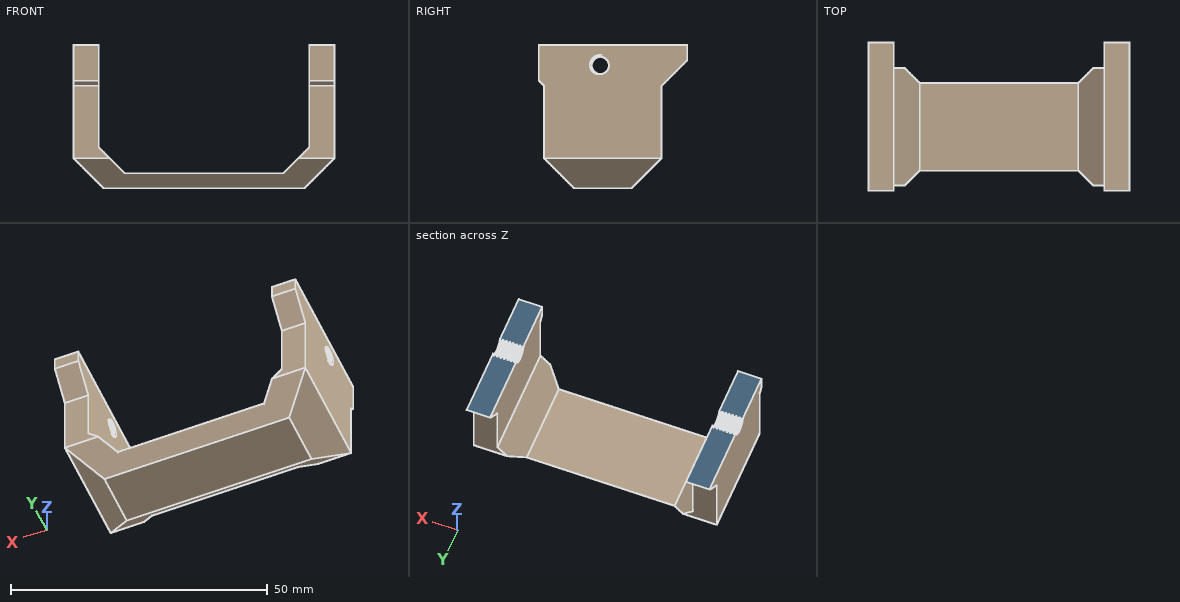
import cadquery as cq
import math

length = 50.95
width = 29.0
height = 28.0

wall = 5.0
floor = 3.0
inner_chamfer = 5.0
outer_chamfer = 5.9

front_overhang = 1.0
back_overhang = 5.0
flange_depth = 8.0

bore_diameter = 3.3
thread_diameter = 4.15
thread_pitch = 0.7
hole_from_front = 12.0
hole_from_top = 4.0
groove_half_angle = 30.0
bore_overlap = 0.05

front = -width / 2
back = width / 2
hole_y = front + hole_from_front
hole_z = height - hole_from_top


def cradle_section():
    """U-shaped section with chamfered corners, extruded over the full width."""
    outer_x = length / 2
    inner_x = outer_x - wall
    right_half = [
        (outer_x - outer_chamfer, 0),
        (outer_x, outer_chamfer),
        (outer_x, height),
        (inner_x, height),
        (inner_x, floor + inner_chamfer),
        (inner_x - inner_chamfer, floor),
    ]
    left_half = [(-x, z) for x, z in reversed(right_half)]
    section = cq.Workplane("XZ").polyline(right_half + left_half).close()
    return section.extrude(width / 2, both=True)


def side_profile():
    """Side outline with top flanges and a tapered base, extruded along X."""
    body_front = front + front_overhang
    body_back = back - back_overhang
    flange_bottom = height - flange_depth
    outline = [
        (body_front + outer_chamfer, 0),
        (body_front, outer_chamfer),
        (body_front, flange_bottom),
        (front, flange_bottom + front_overhang),
        (front, height),
        (back, height),
        (back, flange_bottom + back_overhang),
        (body_back, flange_bottom),
        (body_back, outer_chamfer),
        (body_back - outer_chamfer, 0),
    ]
    return cq.Workplane("YZ").polyline(outline).close().extrude(length / 2, both=True)


def threaded_hole(wall_start):
    """Cutter for one wall: a plain bore with a right-handed V-groove helix."""
    bore_radius = bore_diameter / 2
    root_radius = thread_diameter / 2
    base_radius = bore_radius - bore_overlap
    half_mouth = (root_radius - base_radius) * math.tan(math.radians(groove_half_angle))
    thread_length = wall + 2 * thread_pitch

    bore = cq.Workplane("XY").circle(bore_radius).extrude(thread_length)
    path = cq.Wire.makeHelix(thread_pitch, thread_length, base_radius)
    groove = (
        cq.Workplane("XZ")
        .polyline([(base_radius, -half_mouth), (root_radius, 0), (base_radius, half_mouth)])
        .close()
        .sweep(cq.Workplane(obj=path), isFrenet=True)
    )
    cutter = bore.union(groove).rotate((0, 0, 0), (0, 1, 0), 90)
    cutter = cutter.rotate((0, 0, 0), (1, 0, 0), -90)
    return cutter.translate((wall_start - thread_pitch, hole_y, hole_z))


result = cradle_section().intersect(side_profile())
for wall_start in (-length / 2, length / 2 - wall):
    result = result.cut(threaded_hole(wall_start))
result = result.solids()